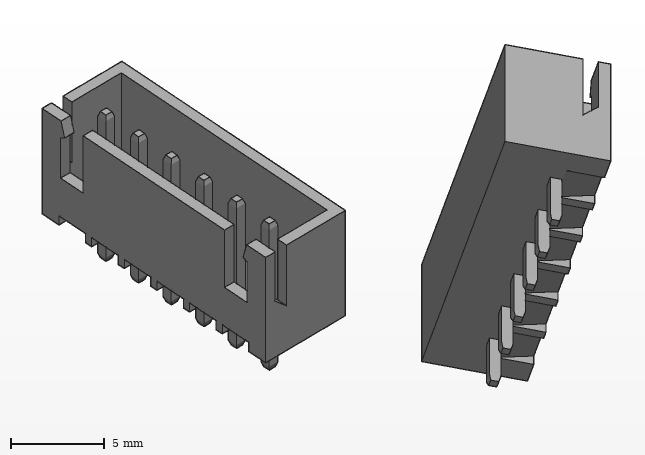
import cadquery as cq

length = 17.37
depth = 5.84
overall_height = 10.21
pin_drop = 3.0
height = overall_height - pin_drop
wall = 0.7

pin_count = 6
pitch = 2.54
pin_width = 0.65
pin_y = 2.48
pin_top_gap = 0.2
tip_height = 0.33
tip_width = 0.43

slot_outer_x = length / 2 - 1.45
slot_inner_x = length / 2 - 3.2
slot_depth = 3.93
hook_mouth_x = slot_outer_x - 0.03
hook_tip_x = slot_outer_x - 0.31
hook_tip_drop = 1.0
hook_root_drop = 1.18

slit_width = 0.83
slit_front_depth = 3.37
slit_back_depth = 4.15

relief_width = 2.05
relief_height = 0.63
relief_depth = 2.08

pin_positions = [(i - (pin_count - 1) / 2) * pitch for i in range(pin_count)]


def box(x_size, y_size, z_size, y_start, z_start):
    """Box centred on X, starting at the given Y and Z."""
    return (
        cq.Workplane("XY")
        .box(x_size, y_size, z_size, centered=(True, False, False))
        .translate((0, y_start, z_start))
    )


def housing_shell():
    outer = box(length, depth, height, 0, 0)
    cavity = box(length - 2 * wall, depth - 2 * wall, height - wall, wall, wall)
    return outer.cut(cavity)


def latch_slot():
    """Cutter for the slot at the +X end of the front wall."""
    outline = [
        (slot_inner_x, height),
        (hook_mouth_x, height),
        (hook_tip_x, height - hook_tip_drop),
        (slot_outer_x, height - hook_root_drop),
        (slot_outer_x, height - slot_depth),
        (slot_inner_x, height - slot_depth),
    ]
    return cq.Workplane("XZ").polyline(outline).close().extrude(-wall)


def end_wall_slits():
    """Cutter along the full length, slitting both end walls behind the front wall."""
    outline = [
        (wall, height),
        (wall, height - slit_front_depth),
        (wall + slit_width, height - slit_back_depth),
        (wall + slit_width, height),
    ]
    return cq.Workplane("YZ").polyline(outline).close().extrude(length / 2, both=True)


def relief():
    """Wedge cutter, tallest at the front face and running out at the underside."""
    outline = [(0, 0), (0, relief_height), (relief_depth, 0)]
    return cq.Workplane("YZ").polyline(outline).close().extrude(relief_width / 2, both=True)


def pin_tip():
    """Square taper rising from Z = 0."""
    return (
        cq.Workplane("XY")
        .rect(pin_width, pin_width)
        .workplane(offset=tip_height)
        .rect(tip_width, tip_width)
        .loft(ruled=True)
    )


def pin():
    """Square pin centred on the Z axis, tapered at both ends."""
    shank_bottom = tip_height - pin_drop
    shank_top = height - pin_top_gap - tip_height
    shank = box(pin_width, pin_width, shank_top - shank_bottom, -pin_width / 2, shank_bottom)
    top_tip = pin_tip().translate((0, 0, shank_top))
    bottom_tip = pin_tip().mirror("XY").translate((0, 0, shank_bottom))
    return shank.union(top_tip).union(bottom_tip)


slot = latch_slot()
result = housing_shell().cut(slot).cut(slot.mirror("YZ")).cut(end_wall_slits())
for x in pin_positions:
    result = result.cut(relief().translate((x, 0, 0)))
for x in pin_positions:
    result = result.union(pin().translate((x, pin_y, 0)))